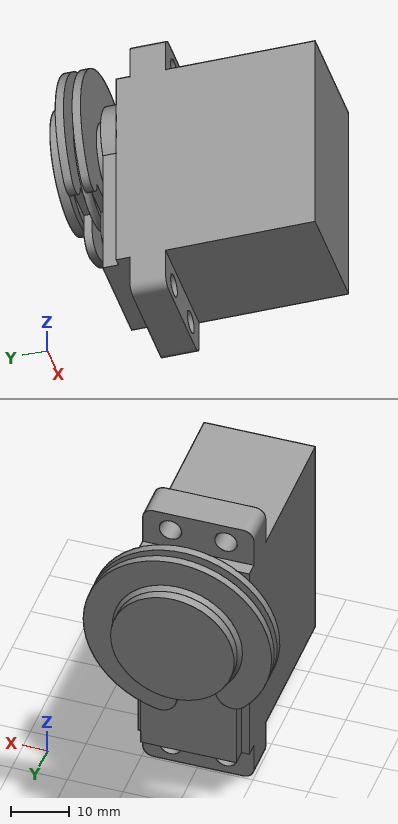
import cadquery as cq
import math


case_width = 20.0
case_depth = 35.4
case_height = 40.35
case_top = 10.25
case_bottom = case_top - case_height

ear_length = 7.3
ear_start = 26.6
ear_thickness = 6.4
ear_corner_radius = 2.0
ear_hole_diameter = 4.0
ear_hole_spacing = 10.0
ear_hole_edge_distance = 3.45

boss_height = 2.8
boss_diameter = case_width
tail_width = 17.2

horn_diameter = 15.0
horn_thickness = 1.5

pulley_diameter = 33.9
flange_thickness = 1.5
groove_width = 1.55
hub_diameter = 22.2
groove_depth = 0.45
flare_length = 0.95
flare_growth = 0.6
cap_length = 1.75

lip_radius = 2.95
left_lip_angle = math.radians(225)
slot_right = 0.15

boss_front = case_depth + boss_height
horn_front = boss_front + horn_thickness
groove_start = horn_front + flange_thickness
groove_end = groove_start + groove_width
flange_front = groove_end + flange_thickness
flare_end = flange_front + flare_length
cap_front = flare_end + cap_length


def extrude_y(sketch, start, length):
    """Extrude an outline drawn in X and Z towards +Y, beginning at Y = start."""
    return sketch.extrude(-length).translate((0, start, 0))


def make_servo():
    case_middle = (case_top + case_bottom) / 2
    case = extrude_y(
        cq.Workplane("XZ").center(0, case_middle).rect(case_width, case_height), 0, case_depth
    )

    ear_plate_height = case_height + 2 * ear_length
    ears = extrude_y(
        cq.Workplane("XZ").center(0, case_middle).rect(case_width, ear_plate_height),
        ear_start,
        ear_thickness,
    )
    ears = ears.edges("|Y").fillet(ear_corner_radius)
    hole_row_spacing = ear_plate_height - 2 * ear_hole_edge_distance
    holes = extrude_y(
        cq.Workplane("XZ")
        .center(0, case_middle)
        .rect(ear_hole_spacing, hole_row_spacing, forConstruction=True)
        .vertices()
        .circle(ear_hole_diameter / 2),
        ear_start,
        ear_thickness,
    )

    boss = extrude_y(cq.Workplane("XZ").circle(boss_diameter / 2), case_depth, boss_height)
    tail = extrude_y(
        cq.Workplane("XZ").center(0, case_bottom / 2).rect(tail_width, -case_bottom),
        case_depth,
        boss_height,
    )
    return case.union(ears.cut(holes)).union(boss).union(tail)


def make_horn():
    return extrude_y(cq.Workplane("XZ").circle(horn_diameter / 2), boss_front, horn_thickness)


def make_pulley_blank():
    """Revolve the two flanges, the concave groove floor, the flare and the cap."""
    rim = pulley_diameter / 2
    hub = hub_diameter / 2
    groove_middle = (groove_start + groove_end) / 2
    return (
        cq.Workplane("XY")
        .moveTo(0, horn_front)
        .lineTo(rim, horn_front)
        .lineTo(rim, groove_start)
        .lineTo(hub, groove_start)
        .threePointArc((hub - groove_depth, groove_middle), (hub, groove_end))
        .lineTo(rim, groove_end)
        .lineTo(rim, flange_front)
        .lineTo(hub + flare_growth, flange_front)
        .lineTo(hub, flare_end)
        .lineTo(hub, cap_front)
        .lineTo(0, cap_front)
        .close()
        .revolve(360, (0, 0, 0), (0, 1, 0))
    )


def make_notch_outline():
    """Outline a slot whose lips are arcs tangent to both the slot walls and the rim."""
    rim = pulley_diameter / 2
    lip_orbit = rim - lip_radius
    half_root = math.sqrt(0.5)

    left_x = lip_orbit * math.cos(left_lip_angle)
    left_z = lip_orbit * math.sin(left_lip_angle)
    left_rim = (rim * math.cos(left_lip_angle), rim * math.sin(left_lip_angle))

    right_x = slot_right + lip_radius
    right_z = -math.sqrt(lip_orbit**2 - right_x**2)
    right_rim = (right_x * rim / lip_orbit, right_z * rim / lip_orbit)

    return (
        cq.Workplane("XZ")
        .moveTo(*left_rim)
        .threePointArc((left_x, left_z - lip_radius), (left_x + lip_radius, left_z))
        .lineTo(slot_right, left_z)
        .lineTo(slot_right, right_z)
        .threePointArc(
            (right_x - lip_radius * half_root, right_z - lip_radius * half_root), right_rim
        )
        .lineTo(right_rim[0], -pulley_diameter)
        .lineTo(left_rim[0], -pulley_diameter)
        .close()
    )


def make_pulley():
    pulley = make_pulley_blank()
    for flange_start in (horn_front, groove_end):
        pulley = pulley.cut(extrude_y(make_notch_outline(), flange_start, flange_thickness))
    return pulley


servo = make_servo()
horn = make_horn()
pulley = make_pulley()

result = cq.Compound.makeCompound([servo.val(), horn.val(), pulley.val()])